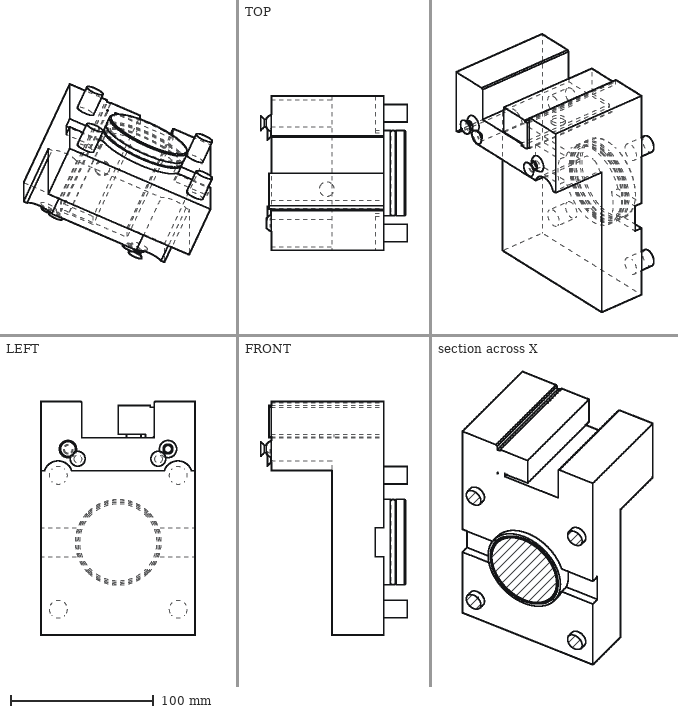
import cadquery as cq


body_width = 108.0
body_bottom = -65.0
body_height = 163.5
body_top = body_bottom + body_height
arm_length = 78.7
column_depth = 36.4
arm_bottom = 50.0

slot_width = 50.4
slot_depth = 25.5
slot_floor = body_top - slot_depth
slot_chamfer = 1.0

bar_width = slot_width / 2
bar_overhang = 1.75
bar_front = -arm_length - bar_overhang
bar_top = body_top - 2.9
bar_underside = body_top - 23.2
bar_lip_width = 6.1
bar_notch_width = 2.5
bar_notch_depth = 1.2
bar_corner_chamfer = 0.6
jack_diameter = 10.25
jack_y = -11.0

spigot_radius = 30.0
spigot_length = 15.2
spigot_chamfer = 0.9
groove_start = 4.4
groove_end = 8.5
groove_radius = 27.0
ring_section_radius = 1.9

key_depth = 6.0
key_height = 20.4

bolt_diameter = 12.5
bolt_length = 16.3
bolt_y = 41.9
bolt_z = 46.8
bolt_access_radius = 10.0

screw_y = 35.0
screw_z = body_top - 33.4
head_radius = 6.0
head_flat_radius = 3.4
head_height = 3.55
head_mid_radius = 5.0
head_mid_height = 1.85
socket_radius = 2.6
socket_depth = 2.5
plug_y = 28.2
plug_z = body_top - 40.2
plug_neck_radius = 2.75
plug_flare_radius = 5.2
plug_length = 2.9
screw_plug_length = 7.55


def cylinder_x(radius, x_start, x_end, y, z):
    """Round bar along X from x_start to x_end."""
    return cq.Workplane("YZ", origin=(x_start, y, z)).circle(radius).extrude(x_end - x_start)


def revolve_about_x(profile):
    """Revolve a closed XY profile around the X axis."""
    return profile.revolve(360, (0, 0, 0), (1, 0, 0))


def make_body():
    outline = [
        (0, body_bottom),
        (0, body_top),
        (-arm_length, body_top),
        (-arm_length, arm_bottom),
        (-column_depth, arm_bottom),
        (-column_depth, body_bottom),
    ]
    body = cq.Workplane("XZ").polyline(outline).close().extrude(body_width / 2, both=True)
    body = body.cut(make_tool_slot())
    for side in (-1, 1):
        body = body.cut(
            cylinder_x(bolt_access_radius, -arm_length, -column_depth, side * bolt_y, bolt_z)
        )
    keyway = cq.Workplane("XY").box(2 * key_depth, body_width, key_height)
    return body.cut(keyway)


def make_tool_slot():
    half = slot_width / 2
    outline = [
        (-half, slot_floor),
        (half, slot_floor),
        (half, body_top - slot_chamfer),
        (half + slot_chamfer, body_top),
        (-half - slot_chamfer, body_top),
        (-half, body_top - slot_chamfer),
    ]
    return cq.Workplane("YZ", origin=(-arm_length, 0, 0)).polyline(outline).close().extrude(arm_length)


def make_clamp_bar():
    lip_edge = bar_lip_width - bar_width
    outline = [
        (0, bar_underside),
        (0, bar_top),
        (bar_notch_width - bar_width, bar_top),
        (bar_notch_width - bar_width, bar_top - bar_notch_depth),
        (-bar_width, bar_top - bar_notch_depth),
        (-bar_width, slot_floor + bar_corner_chamfer),
        (bar_corner_chamfer - bar_width, slot_floor),
        (lip_edge, slot_floor),
        (lip_edge, bar_underside),
    ]
    bar = cq.Workplane("YZ", origin=(bar_front, 0, 0)).polyline(outline).close().extrude(-bar_front)
    jack = (
        cq.Workplane("XY", origin=(bar_front / 2, jack_y, slot_floor))
        .circle(jack_diameter / 2)
        .extrude(bar_underside - slot_floor)
    )
    return bar.union(jack)


def make_spigot():
    outline = [
        (-key_depth, 0),
        (-key_depth, spigot_radius),
        (groove_start, spigot_radius),
        (groove_start, groove_radius),
        (groove_end, groove_radius),
        (groove_end, spigot_radius),
        (spigot_length - spigot_chamfer, spigot_radius),
        (spigot_length, spigot_radius - spigot_chamfer),
        (spigot_length, 0),
    ]
    spigot = revolve_about_x(cq.Workplane("XY").polyline(outline).close())
    ring_section = (
        cq.Workplane("XY")
        .center(groove_start + ring_section_radius, spigot_radius - ring_section_radius)
        .circle(ring_section_radius)
    )
    ring = ring_section.revolve(
        360,
        (0, ring_section_radius - spigot_radius, 0),
        (1, ring_section_radius - spigot_radius, 0),
    )
    return spigot.union(ring)


def make_button_head(y):
    """Domed screw head with a round socket, standing on the front of the arm."""
    head = revolve_about_x(
        cq.Workplane("XY")
        .moveTo(0, 0)
        .lineTo(0, head_radius)
        .threePointArc((-head_mid_height, head_mid_radius), (-head_height, head_flat_radius))
        .lineTo(-head_height, 0)
        .close()
    )
    socket = cylinder_x(socket_radius, -head_height, socket_depth - head_height, 0, 0)
    return head.cut(socket).translate((-arm_length, y, screw_z))


def make_flared_plug(length, y, z):
    """Plug with a straight neck that flares at 45 degrees to its outer end."""
    flare_start = plug_flare_radius - plug_neck_radius - length
    outline = [
        (0, 0),
        (0, plug_neck_radius),
        (flare_start, plug_neck_radius),
        (-length, plug_flare_radius),
        (-length, 0),
    ]
    plug = revolve_about_x(cq.Workplane("XY").polyline(outline).close())
    return plug.translate((-arm_length, y, z))


result = make_body().union(make_clamp_bar()).union(make_spigot())

for y_side in (-1, 1):
    for z_side in (-1, 1):
        bolt = cylinder_x(bolt_diameter / 2, 0, bolt_length, y_side * bolt_y, z_side * bolt_z)
        result = result.union(bolt)
    result = result.union(make_button_head(y_side * screw_y))
    result = result.union(make_flared_plug(plug_length, y_side * plug_y, plug_z))

result = result.union(make_flared_plug(screw_plug_length, screw_y, screw_z))